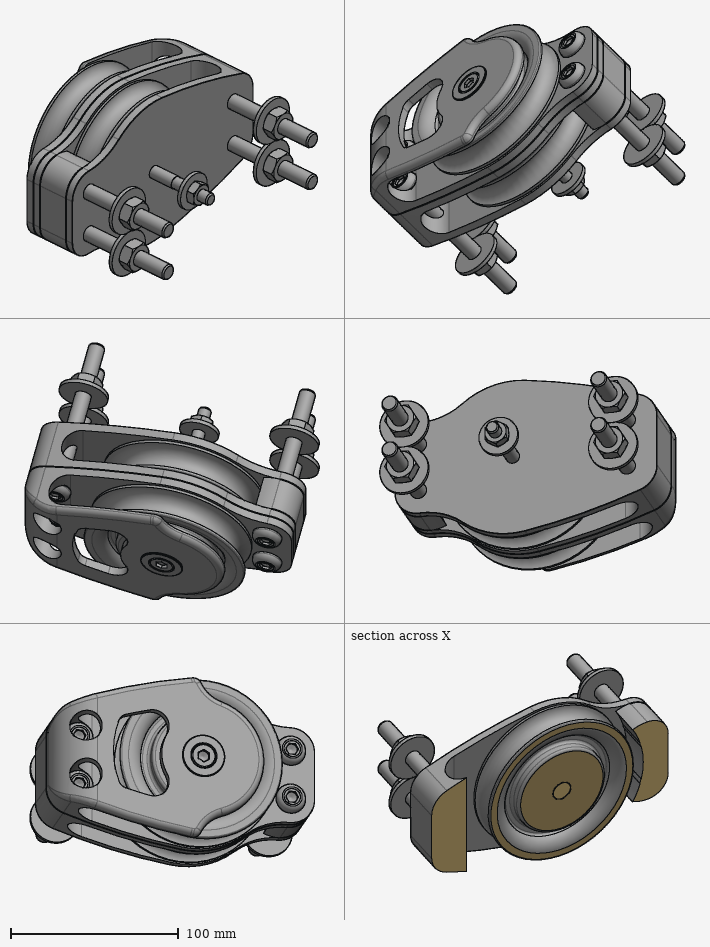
import cadquery as cq
import math


wall = 5.2
slot_width = 20.7
module_pitch = wall * 2 + slot_width
seam_x = -module_pitch
ledge_x = seam_x - wall
cheek_x = -2 * module_pitch
slot_centers = [-module_pitch / 2, -1.5 * module_pitch]

head_y = 89.5
head_corner = 15.8
shoulder_radius = 374.9
shoulder_y = 7.5
crown_radius = 100.0 / 2
waist_radius = 40.8
heel_corner = 14.7
bolt_head_y = 71.0
bolt_heel_y = -58.5
bolt_z = 15.0

head_round = 25.0
slot_end_y = 72.9
spacer_inner_radius = 24.5
heel_clearance = 55.7
cheek_radius = 37.5
cheek_neck_radius = 21.2
cheek_neck_angle = 18.2
cheek_corner = 4.9
cheek_fillet = 3.7
window_inner = 25.5
window_outer = 55.0
window_inset = 17.5
window_end_round = 9.8
window_corner_round = 6.5
seam_width = 0.5
seam_depth = 0.25
clear = 1.6
near = 0.2

sheave_radius = 49.4
sheave_half_width = 10.0
groove_radius = 7.8
rim_round = 0.7
rim_inner = 44.5
bowl_inner = 36.0
bowl_half_width = 4.2
web_outer = 34.5
web_half_width = 2.8
hub_root = 31.8
hub_top = 28.2
bore_diameter = 12.2

axle_diameter = 12.0
cap_diameter = 25.8
cap_height = 1.0
cap_chamfer = 0.4
cap_recess_diameter = 16.0
cap_recess_floor = 14.8
cap_screw_top = 13.5
cap_recess_depth = 0.5
socket_flats = 6.7
socket_depth = 2.0
socket_cone_angle = 30
washer_x = 29.5
washer_thickness = 2.5
nut_x = washer_x + washer_thickness
nut_bevel = 0.6
tip_chamfer = 1.1
tip_inset = 0.7
bolt_diameter = 10.0
bolt_end = 63.7
bolt_washer = 30.0
bolt_nut_flats = 17.0
bolt_nut_height = 8.2
bolt_head_diameter = 18
bolt_head_height = 5.0
bolt_head_lip = 1.0
dome_middle_rise = 2.5
dome_middle_radius = 8.2
bolt_head_top = 12.0
bolt_head_dish = 10.0
dish_depth = 0.3
access_diameter = 18.6
stud_shoulder_diameter = 8.3
stud_shoulder_end = 17.5
stud_diameter = 7.8
stud_end = 45.6
stud_washer = 24.0
stud_nut_flats = 13.2
stud_nut_height = 5.9
corners_up = 30


def polar(center, radius, toward):
    """Point at a radius from a center, in the direction of another point."""
    dy = toward[0] - center[0]
    dz = toward[1] - center[1]
    length = math.hypot(dy, dz)
    return (center[0] + radius * dy / length, center[1] + radius * dz / length)


def arc(sketch, center, radius, start, end):
    """Add the shorter arc about a center, from the current point `start` to `end`."""
    middle = ((start[0] + end[0]) / 2, (start[1] + end[1]) / 2)
    return sketch.threePointArc(polar(center, radius, middle), end)


def circle_crossing(radius_a, center_b, radius_b, side=1):
    """Crossing of a circle about the axle with another circle, on either side of the center line."""
    span = math.hypot(*center_b)
    along = (span**2 + radius_a**2 - radius_b**2) / (2 * span)
    across = side * math.sqrt(radius_a**2 - along**2)
    unit = (center_b[0] / span, center_b[1] / span)
    return (along * unit[0] + across * unit[1], along * unit[1] - across * unit[0])


axle = (0, 0)
shoulder_start = (shoulder_y, math.sqrt(crown_radius**2 - shoulder_y**2))
shoulder_center = polar(shoulder_start, shoulder_radius, axle)
corner_y = head_y - head_corner
corner_rise = math.sqrt((shoulder_radius - head_corner) ** 2 - (corner_y - shoulder_center[0]) ** 2)
corner_center = (corner_y, shoulder_center[1] + corner_rise)
corner_start = (head_y, corner_center[1])
corner_end = polar(shoulder_center, shoulder_radius, corner_center)
heel_center = (bolt_heel_y, bolt_z)
waist_center = circle_crossing(crown_radius + waist_radius, heel_center, heel_corner + waist_radius)
crown_end = polar(axle, crown_radius, waist_center)
waist_end = polar(heel_center, heel_corner, waist_center)
heel_end = (bolt_heel_y - heel_corner, bolt_z)


def start_outline(x):
    """Begin an upper half outline at the head and follow it to the start of the crown."""
    sketch = cq.Workplane("YZ", origin=(x, 0, 0)).moveTo(head_y, 0).lineTo(*corner_start)
    sketch = arc(sketch, corner_center, head_corner, corner_start, corner_end)
    return arc(sketch, shoulder_center, shoulder_radius, corner_end, shoulder_start)


def both_halves(upper):
    return upper.union(upper.mirror("XY")).clean()


def plate_block(x_start, x_end, inset=0):
    """Full outline of the plates between two X planes, drawn in by an inset."""
    sketch = start_outline(x_start)
    sketch = arc(sketch, axle, crown_radius, shoulder_start, crown_end)
    sketch = arc(sketch, waist_center, waist_radius, crown_end, waist_end)
    sketch = arc(sketch, heel_center, heel_corner, waist_end, heel_end)
    sketch = sketch.lineTo(heel_end[0], 0).close()
    block = both_halves(sketch.extrude(x_end - x_start))
    if inset:
        wire = block.faces("<X").wires().val().offset2D(-inset)[0]
        block = cq.Workplane(cq.Solid.extrudeLinear(wire, [], cq.Vector(x_end - x_start, 0, 0)))
    return block


def cheek_block():
    """Cheek and outer half of the head: necked behind the crown, bent and rounded outside."""
    depth = ledge_x - cheek_x
    neck_angle = math.radians(cheek_neck_angle)
    direction = (-math.sin(neck_angle), math.cos(neck_angle))
    reach = cheek_radius + cheek_neck_radius
    neck_center = (reach * direction[0], reach * direction[1])
    neck_end = (cheek_radius * direction[0], cheek_radius * direction[1])
    neck_start = circle_crossing(crown_radius, neck_center, cheek_neck_radius)
    sketch = start_outline(cheek_x)
    sketch = arc(sketch, axle, crown_radius, shoulder_start, neck_start)
    sketch = arc(sketch, neck_center, cheek_neck_radius, neck_start, neck_end)
    sketch = arc(sketch, axle, cheek_radius, neck_end, (-cheek_radius, 0))
    block = both_halves(sketch.close().extrude(depth))
    corner = cq.selectors.BoxSelector(
        (cheek_x - clear, neck_start[0] - near, -crown_radius),
        (ledge_x + clear, neck_start[0] + near, crown_radius),
    )
    block = block.edges("|X").edges(corner).fillet(cheek_corner)
    bend = (
        cq.Workplane("XY", origin=(0, 0, -crown_radius - clear))
        .rect(2 * -cheek_x, 2 * head_y)
        .extrude(2 * (crown_radius + clear))
        .edges("|Z and <X and >Y")
        .fillet(head_round)
    )
    block = block.intersect(bend)
    return block.faces("<X").edges("not |Z").fillet(cheek_fillet)


def sheave_slot(center_x):
    """Slot for one sheave, open at the heel end and on both sides, round toward the head."""
    height = 2 * (crown_radius + clear)
    open_end = -2 * head_y
    straight_end = slot_end_y - slot_width / 2
    return (
        cq.Workplane("XY", origin=(0, 0, -height / 2))
        .moveTo(center_x - slot_width / 2, open_end)
        .lineTo(center_x - slot_width / 2, straight_end)
        .threePointArc((center_x, slot_end_y), (center_x + slot_width / 2, straight_end))
        .lineTo(center_x + slot_width / 2, open_end)
        .close()
        .extrude(height)
    )


def x_cylinder(diameter, x_start, x_end, y=0, z=0):
    return cq.Workplane("YZ", origin=(x_start, y, z)).circle(diameter / 2).extrude(x_end - x_start)


def heel_spacer():
    """Spacer around the heel bolts of the inner module, hollowed to clear the sheave."""
    crest = (bolt_heel_y, bolt_z + heel_corner)
    inner_center = (bolt_heel_y, crest[1] - spacer_inner_radius)
    tip = circle_crossing(heel_clearance, inner_center, spacer_inner_radius)
    sketch = cq.Workplane("YZ", origin=(seam_x + wall, 0, 0)).moveTo(heel_end[0], 0).lineTo(*heel_end)
    sketch = arc(sketch, heel_center, heel_corner, heel_end, crest)
    sketch = arc(sketch, inner_center, spacer_inner_radius, crest, tip)
    sketch = arc(sketch, axle, heel_clearance, tip, (-heel_clearance, 0))
    return both_halves(sketch.close().extrude(slot_width))


def seam_groove(x):
    """Fine groove around the outline at a plane where two plates meet."""
    ring = plate_block(x - seam_width / 2, x + seam_width / 2)
    return ring.cut(plate_block(x - seam_width / 2, x + seam_width / 2, seam_depth))


def cheek_window():
    """Kidney-shaped opening through the cheek, between two arcs about the axle."""
    edge_radius = shoulder_radius - window_inset
    round_center = circle_crossing(
        window_inner + window_end_round, shoulder_center, edge_radius - window_end_round, -1
    )
    inner_end = polar(axle, window_inner, round_center)
    edge_start = polar(shoulder_center, edge_radius, round_center)
    edge_end = circle_crossing(window_outer, shoulder_center, edge_radius, -1)
    sketch = cq.Workplane("YZ", origin=(cheek_x, 0, 0)).moveTo(window_inner, 0)
    sketch = arc(sketch, axle, window_inner, (window_inner, 0), inner_end)
    sketch = arc(sketch, round_center, window_end_round, inner_end, edge_start)
    sketch = arc(sketch, shoulder_center, edge_radius, edge_start, edge_end)
    sketch = arc(sketch, axle, window_outer, edge_end, (window_outer, 0))
    window = both_halves(sketch.close().extrude(wall))
    far_corners = cq.selectors.BoxSelector(
        (cheek_x, edge_end[0] - near, -crown_radius), (ledge_x, edge_end[0] + near, crown_radius)
    )
    return window.edges("|X").edges(far_corners).fillet(window_corner_round)


def across_corners(flats):
    return flats / math.cos(math.pi / 6)


def hex_prism(flats, x_start, x_end, y, z, turn):
    """Hexagonal prism along X; with no turn its corners point along Y."""
    prism = cq.Workplane("YZ").polygon(6, across_corners(flats)).extrude(x_end - x_start)
    return prism.rotate((0, 0, 0), (1, 0, 0), turn).translate((x_start, y, z))


def hex_socket(x, y, z, turn):
    """Hexagon socket opening toward -X, with a conical bottom."""
    cone_height = socket_flats / 2 * math.tan(math.radians(socket_cone_angle))
    cone = cq.Solid.makeCone(
        socket_flats / 2, 0, cone_height, cq.Vector(x + socket_depth, y, z), cq.Vector(1, 0, 0)
    )
    return hex_prism(socket_flats, x, x + socket_depth, y, z, turn).union(cq.Workplane(cone))


def nut(flats, height, y, z, turn):
    """Hexagon nut with its corners chamfered at both ends."""
    corners = across_corners(flats)
    blank = x_cylinder(corners, nut_x, nut_x + height, y, z)
    reach = (corners - flats) / 2
    blank = blank.faces("<X or >X").chamfer(nut_bevel * reach, reach)
    return hex_prism(flats, nut_x, nut_x + height, y, z, turn).intersect(blank)


def shank(diameter, x_start, x_end, y, z):
    """Round shank with a chamfered tip."""
    return x_cylinder(diameter, x_start, x_end, y, z).faces(">X").chamfer(tip_chamfer, tip_inset)


def bolt(y, z):
    """Button-head bolt from the ledge out past its washer and nut."""
    top_x = ledge_x - bolt_head_height
    lip_x = ledge_x - bolt_head_lip
    rim = bolt_head_diameter / 2
    crest = bolt_head_top / 2
    dish = bolt_head_dish / 2
    dome_middle = (lip_x - dome_middle_rise, dome_middle_radius)
    head = (
        cq.Workplane("XY")
        .moveTo(ledge_x, 0)
        .lineTo(ledge_x, rim)
        .lineTo(lip_x, rim)
        .threePointArc(dome_middle, (top_x, crest))
        .lineTo(top_x, dish)
        .lineTo(top_x + dish_depth, dish)
        .lineTo(top_x + dish_depth, 0)
        .close()
        .revolve(360, (0, 0, 0), (1, 0, 0))
        .translate((0, y, z))
        .cut(hex_socket(top_x, y, z, 0))
    )
    washer = x_cylinder(bolt_washer, washer_x, nut_x, y, z)
    body = shank(bolt_diameter, ledge_x, bolt_end, y, z)
    return body.union(head).union(washer).union(nut(bolt_nut_flats, bolt_nut_height, y, z, 0))


def axle_stud():
    """Axle with its cap and cap screw, the stud beyond the mounting face, washer and nut."""
    cap_x = cheek_x - cap_height
    body = x_cylinder(axle_diameter, cheek_x, 0)
    body = body.union(x_cylinder(cap_diameter, cap_x, cheek_x).faces("<X").chamfer(cap_chamfer))
    groove = (
        cq.Workplane("XY")
        .moveTo(cap_x, cap_recess_diameter / 2)
        .lineTo(cap_x + cap_recess_depth, cap_recess_floor / 2)
        .lineTo(cap_x, cap_screw_top / 2)
        .close()
        .revolve(360, (0, 0, 0), (1, 0, 0))
    )
    body = body.cut(groove).cut(hex_socket(cap_x, 0, 0, corners_up))
    body = body.union(x_cylinder(stud_shoulder_diameter, 0, stud_shoulder_end))
    body = body.union(shank(stud_diameter, 0, stud_end, 0, 0))
    body = body.union(x_cylinder(stud_washer, washer_x, nut_x))
    return body.union(nut(stud_nut_flats, stud_nut_height, 0, 0, corners_up))


def make_frame():
    """Cheek, plates, head, heel spacer, axle and all fasteners as one body."""
    frame = plate_block(ledge_x, 0).union(cheek_block())
    for center_x in slot_centers:
        frame = frame.cut(sheave_slot(center_x))
    frame = frame.union(heel_spacer())
    frame = frame.faces(">X").edges().chamfer(seam_depth)
    frame = frame.cut(seam_groove(seam_x))
    heel_zone = cq.Workplane("XY").box(4 * module_pitch, head_y, 4 * crown_radius)
    heel_zone = heel_zone.translate((0, bolt_heel_y - head_y / 2, 0))
    for x in (seam_x + wall, -wall):
        frame = frame.cut(seam_groove(x).intersect(heel_zone))
    frame = frame.cut(cheek_window())
    for z in (-bolt_z, bolt_z):
        frame = frame.cut(x_cylinder(access_diameter, cheek_x, ledge_x, bolt_head_y, z))
    for y in (bolt_head_y, bolt_heel_y):
        for z in (-bolt_z, bolt_z):
            frame = frame.union(bolt(y, z))
    return frame.cut(x_cylinder(axle_diameter, cheek_x, 0)).union(axle_stud())


def make_sheave(center_x):
    """Grooved wheel with a dished web and a raised hub, bored for the axle."""
    bore = bore_diameter / 2
    hub_round = (hub_root - hub_top) / 2
    hub_wall = hub_top + hub_round
    side = (
        cq.Workplane("XY")
        .moveTo(0, bore)
        .lineTo(sheave_half_width, bore)
        .lineTo(sheave_half_width, hub_top)
        .tangentArcPoint((sheave_half_width - hub_round, hub_wall), relative=False)
        .lineTo(web_half_width + hub_round, hub_wall)
        .tangentArcPoint((web_half_width, hub_root), relative=False)
        .lineTo(web_half_width, web_outer)
        .tangentArcPoint((bowl_half_width, bowl_inner), relative=False)
    )
    drop = sheave_half_width - bowl_half_width
    bowl_radius = ((rim_inner - bowl_inner) ** 2 + drop**2) / (2 * drop)
    bowl_center = (sheave_half_width - bowl_radius, rim_inner)
    side = arc(side, bowl_center, bowl_radius, (bowl_half_width, bowl_inner), (sheave_half_width, rim_inner))
    side = (
        side.lineTo(sheave_half_width, sheave_radius - rim_round)
        .tangentArcPoint((sheave_half_width - rim_round, sheave_radius), relative=False)
        .lineTo(0, sheave_radius)
    )
    half = side.close().revolve(360, (0, 0, 0), (1, 0, 0))
    wheel = half.union(half.rotate((0, 0, 0), (0, 0, 1), 180))
    groove = cq.Solid.makeTorus(sheave_radius, groove_radius, cq.Vector(0, 0, 0), cq.Vector(1, 0, 0))
    return wheel.cut(cq.Workplane(groove)).translate((center_x, 0, 0))


frame = make_frame()
sheaves = [make_sheave(center_x) for center_x in slot_centers]
result = cq.Compound.makeCompound([frame.val(), *[sheave.val() for sheave in sheaves]])